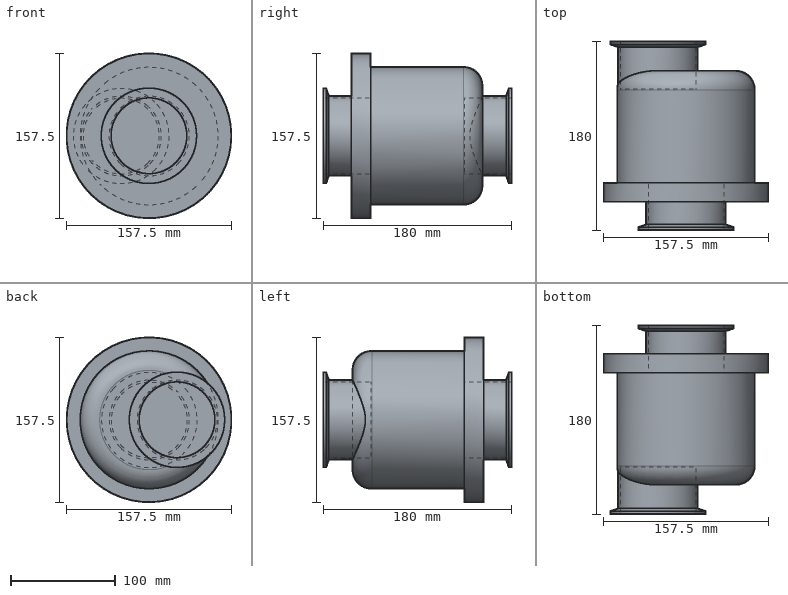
import cadquery as cq

total_length = 180.0
bore_diameter = 72.4
tube_diameter = 76.3
ferrule_diameter = 91.0
rim_thickness = 2.9
ferrule_thickness = 5.4
flange_diameter = 157.5
flange_front = 26.8
flange_back = 45.2
body_diameter = 131.5
body_back = 152.1
body_rounding = 18.4
outlet_offset = -26.6
bore_depth = flange_back


def cylinder(diameter, start, end):
    """Solid cylinder around the Y axis between two Y positions."""
    plane = cq.Workplane("XZ", origin=(0, start, 0))
    return plane.circle(diameter / 2).extrude(start - end)


def ferruled_tube(length):
    """Solid tube with a tapered ferrule at y = 0, running toward +Y."""
    tube_radius = tube_diameter / 2
    ferrule_radius = ferrule_diameter / 2
    profile = (
        cq.Workplane("XY")
        .moveTo(0, 0)
        .lineTo(ferrule_radius, 0)
        .lineTo(ferrule_radius, rim_thickness)
        .lineTo(tube_radius, ferrule_thickness)
        .lineTo(tube_radius, length)
        .lineTo(0, length)
        .close()
    )
    return profile.revolve(360, (0, 0, 0), (0, 1, 0))


def at_outlet(shape):
    """Turn a front-port shape to face +Y and move it to the offset outlet."""
    turned = shape.rotate((0, 0, 0), (0, 0, 1), 180)
    return turned.translate((outlet_offset, total_length, 0))


body = cylinder(body_diameter, flange_front, body_back)
body = body.faces(">Y").edges().fillet(body_rounding)
flange = cylinder(flange_diameter, flange_front, flange_back)

inlet = ferruled_tube(flange_back)
outlet = at_outlet(ferruled_tube(total_length - body_back + body_rounding))
bore = cylinder(bore_diameter, 0, bore_depth)

result = body.union(flange).union(inlet).union(outlet).cut(bore).cut(at_outlet(bore))